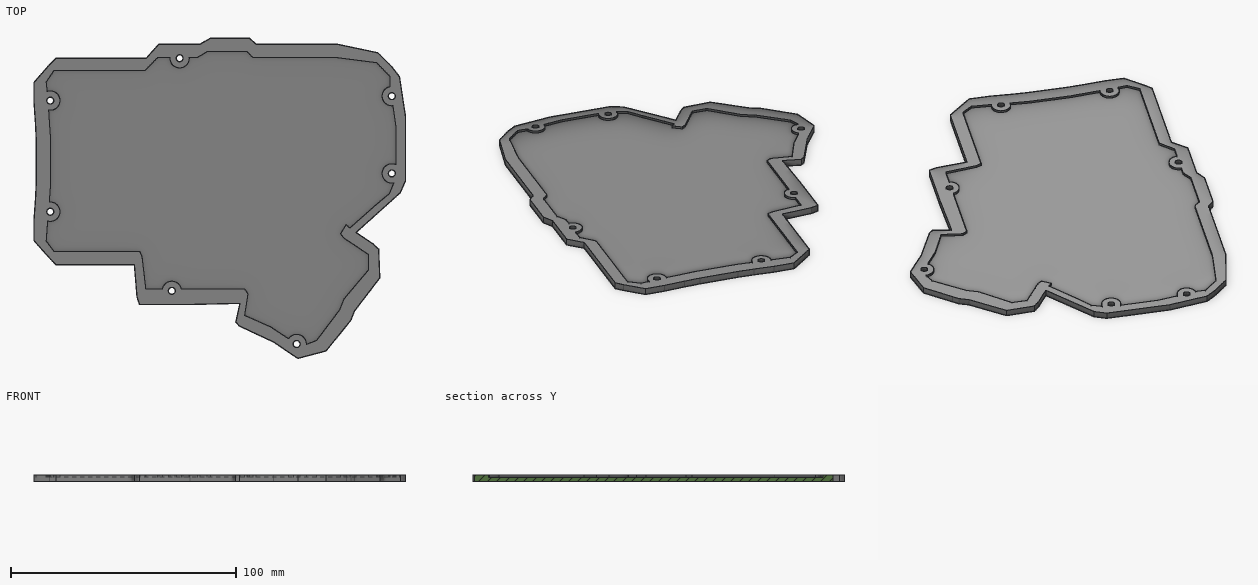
import cadquery as cq

thickness = 3.0
pocket_depth = 1.0
hole_diameter = 3.0
pad_diameter = 8.6

lower_outline = [
    (0, 52.3), (7.0, 44.5), (9.7, 41.6),
    (44.5, 41.6), (45.7, 27.4), (46.9, 24.0), (69.3, 24.0), (91.5, 24.5),
]
thumb_outline = [
    (89.6, 16.2), (91.3, 14.4), (106.5, 7.3), (117.2, 0), (129.7, 3.3),
    (138.8, 14.5), (140.8, 17.0), (142.5, 21.1), (153.7, 35.8), (153.2, 48.5), (150.5, 51.0), (143.1, 56.0),
]
right_outline = [(162.8, 73.6), (165, 78.9), (165, 107.6), (162.5, 125.1), (159.1, 129.4), (152.7, 135.9)]
upper_outline = [
    (134.7, 139.6), (98.7, 139.6), (95.7, 142.3), (78.4, 142.3), (73.8, 139.6), (55.5, 139.6),
    (49.9, 133.4), (9.7, 133.4), (7.0, 130.5), (0, 122.6),
]
left_outline = [(0, 113.5), (0.7, 104), (1.0, 96.5), (1.0, 78.4), (0.7, 71), (0, 61.9)]

lower_pocket = [
    (5.5, 52.2), (8.9, 47.5), (47.0, 47.5), (48.0, 45.0), (49.7, 30.9), (93.6, 30.9), (95.0, 28.7),
]
thumb_pocket = [
    (93.6, 19.1), (105.1, 14.0), (112.9, 8.9), (121.2, 6.3), (125.6, 8.1), (135.7, 21.5), (137.8, 26.5),
    (148.5, 39.3), (148.5, 46.2), (137.7, 53.5), (136.2, 55.5), (138.7, 59.5), (140.3, 58.0),
]
right_pocket = [
    (152.2, 68.5), (158.0, 73.3), (160.8, 80.2), (160.8, 103.2), (158.1, 121.3), (158.1, 125.3), (152.2, 131.4),
]
upper_pocket = [
    (134.0, 133.7), (97.2, 133.7), (94.6, 136.3), (77.0, 136.3), (72.6, 133.7), (55.0, 133.7),
    (49.4, 128.0), (8.9, 128.0), (5.5, 122.8),
]
left_pocket = [(6.1, 116.9), (7.0, 104), (7.5, 96.9), (7.5, 78.0), (7.0, 71), (6.1, 61.2)]

screw_places = [
    (7.3, 114.5), (7.3, 65.2), (64.7, 133.4), (61.2, 30.0), (116.7, 6.5), (159.0, 116.5), (159.0, 82.2),
]


def make_plate():
    corners = lower_outline + thumb_outline + right_outline + upper_outline + left_outline
    return cq.Workplane("XY").polyline(corners).close().extrude(thickness)


def make_pocket():
    """The pocket volume, with the screw pads left standing."""
    corners = lower_pocket + thumb_pocket + right_pocket + upper_pocket + left_pocket
    floor = cq.Workplane("XY").workplane(offset=thickness - pocket_depth)
    pads = floor.pushPoints(screw_places).circle(pad_diameter / 2).extrude(pocket_depth)
    return floor.polyline(corners).close().extrude(pocket_depth).cut(pads)


def make_screw_holes():
    holes = cq.Workplane("XY").pushPoints(screw_places)
    return holes.circle(hole_diameter / 2).extrude(thickness)


result = make_plate().cut(make_pocket()).cut(make_screw_holes())